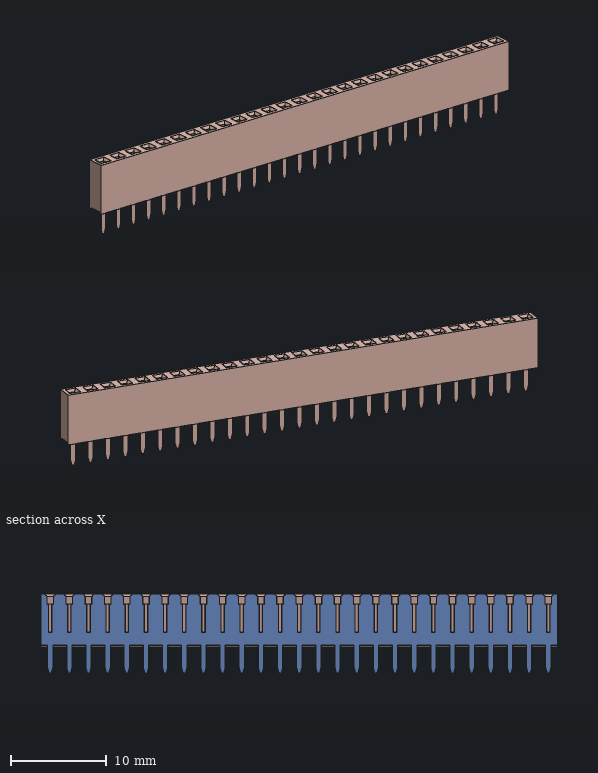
import cadquery as cq

pin_count = 27
body_length = 54.0
body_width = 2.0
body_height = 5.55
pitch = body_length / pin_count

rail_width = 0.3
channel_depth = 0.15

mouth_side = 1.2
socket_side = 0.65
lead_in_depth = 0.28
socket_depth = 1.1
contact_diameter = 0.3
contact_depth = 4.0

tail_length = 2.75
tail_width = 0.6
tail_thickness = 0.2
tip_length = 0.6
tip_width = 0.25

first_pin_y = -(pin_count - 1) / 2 * pitch
pin_positions = [(0, first_pin_y + i * pitch) for i in range(pin_count)]


def make_body():
    body = cq.Workplane("XY").box(body_width, body_length, body_height, centered=(True, True, False))
    channel_width = body_width - 2 * rail_width
    channel = cq.Workplane("XY").box(channel_width, body_length, channel_depth, centered=(True, True, False))
    return body.cut(channel)


def make_opening():
    lead_in = (
        cq.Workplane("XY", origin=(0, 0, body_height))
        .rect(mouth_side, mouth_side)
        .workplane(offset=-lead_in_depth)
        .rect(socket_side, socket_side)
        .loft(ruled=True)
    )
    socket = (
        cq.Workplane("XY", origin=(0, 0, body_height - lead_in_depth))
        .rect(socket_side, socket_side)
        .extrude(lead_in_depth - socket_depth)
    )
    contact_hole = (
        cq.Workplane("XY", origin=(0, 0, body_height))
        .circle(contact_diameter / 2)
        .extrude(-contact_depth)
    )
    return lead_in.union(socket).union(contact_hole)


def make_tail():
    taper_start = tip_length - tail_length
    outline = [
        (-tail_width / 2, channel_depth),
        (-tail_width / 2, taper_start),
        (-tip_width / 2, -tail_length),
        (tip_width / 2, -tail_length),
        (tail_width / 2, taper_start),
        (tail_width / 2, channel_depth),
    ]
    return cq.Workplane("YZ").polyline(outline).close().extrude(tail_thickness / 2, both=True)


def repeat_along_row(shape):
    solid = shape.val()
    return cq.Workplane("XY").pushPoints(pin_positions).eachpoint(lambda place: solid.moved(place))


openings = repeat_along_row(make_opening())
tails = repeat_along_row(make_tail())
result = cq.Workplane(make_body().cut(openings).union(tails).solids().val())